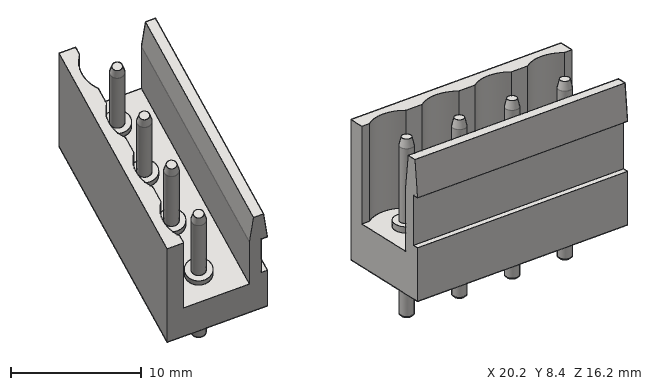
import cadquery as cq

length = 20.2
depth = 8.4
height = 12.2
floor_top = 3.72
front_wall = 1.4

rear_wall_inner = 6.89
groove_face = 7.9
groove_bottom = 4.67
hook_bottom = 9.0
inner_taper_start = 9.21
rear_tip_inner = 7.23
rear_tip_outer = 8.08

pin_count = 4
pitch = 5.07
pin_y = 3.75
pin_diameter = 1.2
pin_tip_diameter = 0.83
pin_bottom = -4.0
pin_top = 11.51
top_taper_length = 0.75
bottom_chamfer = (pin_diameter - pin_tip_diameter) / 2
collar_diameter = 2.2
collar_height = 0.55

scallop_radius = 2.95

pin_positions = [(i - (pin_count - 1) / 2) * pitch for i in range(pin_count)]


def make_housing():
    """Extrude the channel section, with its hooked rear wall, along X."""
    section = [
        (0, 0),
        (depth, 0),
        (depth, groove_bottom),
        (groove_face, groove_bottom),
        (groove_face, hook_bottom),
        (depth, hook_bottom),
        (rear_tip_outer, height),
        (rear_tip_inner, height),
        (rear_wall_inner, inner_taper_start),
        (rear_wall_inner, floor_top),
        (front_wall, floor_top),
        (front_wall, height),
        (0, height),
    ]
    return cq.Workplane("YZ").polyline(section).close().extrude(length / 2, both=True)


def make_scallop(x):
    """Cutter limited to the front wall, from the channel floor to the top."""
    cylinder = (
        cq.Workplane("XY", origin=(x, pin_y, floor_top))
        .circle(scallop_radius)
        .extrude(height - floor_top)
    )
    wall_zone = cq.Workplane("XY").box(length, front_wall, height, centered=(True, False, False))
    return cylinder.intersect(wall_zone)


def make_pin(x):
    """Revolve a pin with a tapered top, a chamfered foot and a collar on the floor."""
    radius = pin_diameter / 2
    tip_radius = pin_tip_diameter / 2
    collar_radius = collar_diameter / 2
    collar_top = floor_top + collar_height
    half_section = [
        (0, pin_bottom),
        (tip_radius, pin_bottom),
        (radius, pin_bottom + bottom_chamfer),
        (radius, floor_top),
        (collar_radius, floor_top),
        (collar_radius, collar_top),
        (radius, collar_top),
        (radius, pin_top - top_taper_length),
        (tip_radius, pin_top),
        (0, pin_top),
    ]
    pin = cq.Workplane("XZ").polyline(half_section).close().revolve(360, (0, 0), (0, 1))
    return pin.translate((x, pin_y, 0))


result = make_housing()
for x in pin_positions:
    result = result.cut(make_scallop(x)).union(make_pin(x))